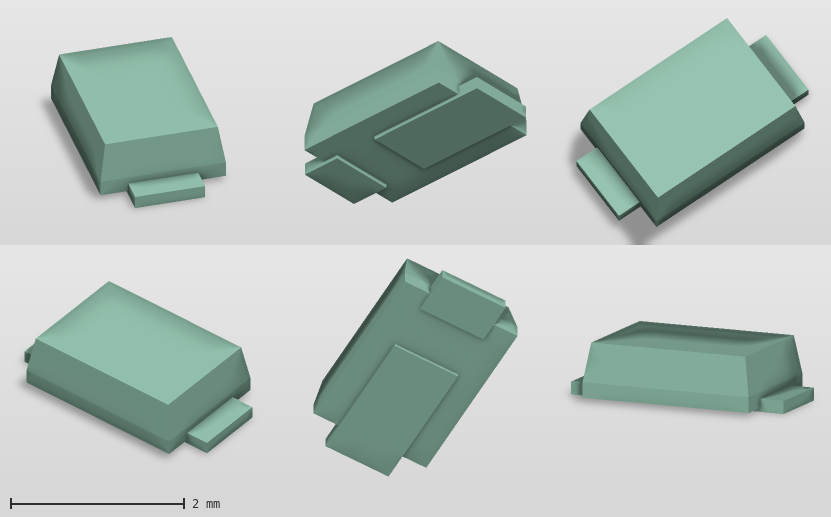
import cadquery as cq

overall_length = 2.69
overall_height = 0.69

housing_length = 2.1
housing_width = 1.5
standoff = 0.048
parting_height = 0.235
top_inset = 0.075

lead_width = 0.84
lead_thickness = 0.153
long_lead_length = 1.598
short_lead_length = 0.505

mark_diameter = 0.105
mark_depth = 0.013
mark_x = -0.842


def make_lead(length, side):
    """Flat lead reaching inward from the package end; side is -1 for -X and 1 for +X."""
    center_x = side * (overall_length - length) / 2
    return (
        cq.Workplane("XY")
        .center(center_x, 0)
        .rect(length, lead_width)
        .extrude(lead_thickness)
    )


def make_mark():
    return (
        cq.Workplane("XY", origin=(mark_x, 0, overall_height - mark_depth))
        .circle(mark_diameter / 2)
        .extrude(mark_depth)
    )


def make_housing(inserts):
    """Housing with a matching recess for each inserted body."""
    base = (
        cq.Workplane("XY", origin=(0, 0, standoff))
        .rect(housing_length, housing_width)
        .extrude(parting_height - standoff)
    )
    tapered_top = (
        cq.Workplane("XY", origin=(0, 0, parting_height))
        .rect(housing_length, housing_width)
        .workplane(offset=overall_height - parting_height)
        .rect(housing_length - 2 * top_inset, housing_width - 2 * top_inset)
        .loft(ruled=True)
    )
    body = base.union(tapered_top)
    for insert in inserts:
        body = body.cut(insert)
    return body.solids()


leads = [make_lead(long_lead_length, -1), make_lead(short_lead_length, 1)]
mark = make_mark()
housing = make_housing([*leads, mark])

result = cq.Compound.makeCompound([housing.val(), *[lead.val() for lead in leads], mark.val()])